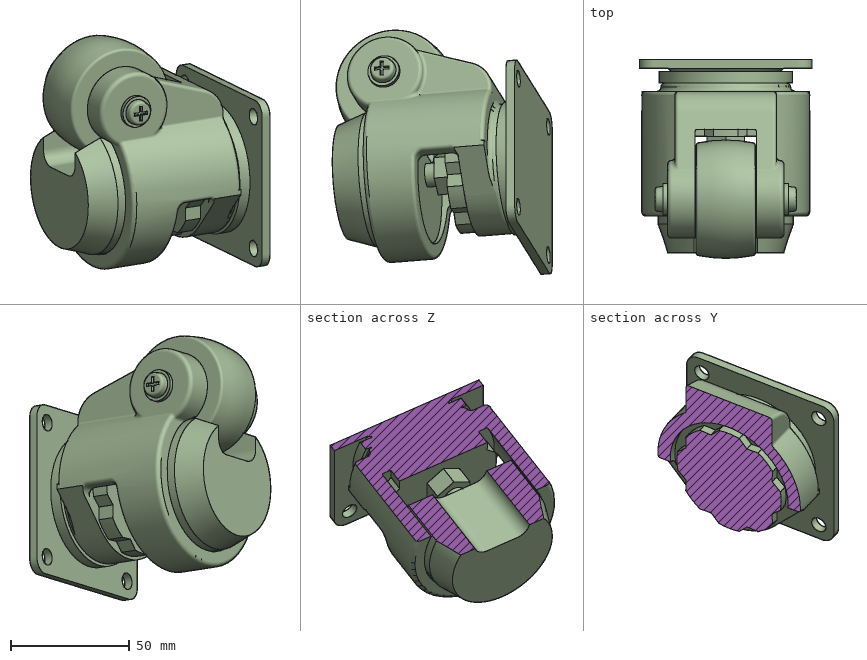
import cadquery as cq
import math


PLATE_SIDE = 73.0
PLATE_THICKNESS = 3.8
PLATE_CORNER_R = 6.0
PLATE_HOLE_D = 7.0
PLATE_HOLE_PITCH = 58.0

NECK_BACK_R = 24.4
NECK_FRONT_R = 23.2
BEARING_R = 56.4 / 2
BEARING_BACK_Y = -5.0
BEARING_FRONT_Y = -9.9

HUB_R = 27.4
HUB_FRONT_Y = -25.3
HOUSING_R = 35.5
HOUSING_BACK_Y = -13.5
HOUSING_FRONT_Y = -66.1
BORE_R = 29.1
EDGE_ROUND = 1.8

WINDOW_TOP_Z = -2.2
WINDOW_FRONT_TOP_Y = -43.5
WINDOW_FRONT_BOTTOM_Y = -45.3
WINDOW_CORNER_R = 3.5
WINDOW_EDGE_ROUND = 1.5

WHEEL_R = 25.0
WHEEL_WIDTH = 25.0
WHEEL_Z = 100.0 - PLATE_SIDE / 2 - WHEEL_R
WHEEL_Y = -84.0 + WHEEL_R
ARM_HALF_WIDTH = 21.4
ARM_CORNER_Z = 38.4
ARM_SLOPE = 0.33
ARM_BACK_R = 12.5
ARM_EDGE_ROUND = 1.5
ARM_BASE_FILLET = 1.5
BOSS_R = 16.4
BOSS_OUTER_X = 24.6
FORK_SLOT_HALF_WIDTH = 12.9
FORK_SLOT_BACK_Y = -29.5
FORK_SLOT_CORNER_R = 0.8

WHEEL_RIM_R = 23.9
WHEEL_FACE_R = 22.7
WHEEL_EDGE_WIDTH = 1.2
WHEEL_HUB_R = 12.0

WASHER_R = 13.5 / 2
WASHER_THICKNESS = 1.8
SCREW_BASE_R = 5.4
SCREW_RIM_R = 10.3 / 2
SCREW_TIP_R = 8.0 / 2
SCREW_RIM_HEIGHT = 2.2
SCREW_HEIGHT = 3.4
CROSS_LENGTH = 6.3
CROSS_WIDTH = 1.3
CROSS_DEPTH = 1.5

KNOB_R = 26.0
KNOB_VALLEY_R = 23.2
KNOB_TEETH = 8
KNOB_TOOTH_HALF_ANGLE = 11.3
KNOB_FRONT_Y = -32.5
HEX_ACROSS_FLATS = 16.0
HEX_FRONT_Y = -41.2
STEM_D = 10.0
FOOT_R = 28.6
FOOT_PAD_R = 24.5
FOOT_BACK_Y = -46.0
FOOT_CONE_Y = -69.5
FOOT_FRONT_Y = -81.6
FOOT_SLOT_HALF_WIDTH = 13.4
FOOT_SLOT_FLOOR_Z = 8.9
FOOT_SLOT_CORNER_R = 6.0

OVERLAP = 1.0
FAR = 100.0


def prism(sketch_builder, y_back, y_front):
    """Extrude an XZ outline along -Y between two stations."""
    plane = cq.Workplane("XZ", origin=(0, y_back, 0))
    return sketch_builder(plane).extrude(y_back - y_front)


def cylinder(radius, y_back, y_front):
    return prism(lambda w: w.circle(radius), y_back, y_front)


def block(x_range, y_range, z_range):
    """Axis-aligned box between pairs of limits."""
    sizes = [high - low for low, high in (x_range, y_range, z_range)]
    return cq.Workplane("XY").box(*sizes, centered=False).translate((x_range[0], y_range[0], z_range[0]))


def cross_disc(radius, x_low, x_high):
    """Disc on the wheel axis between two X limits."""
    plane = cq.Workplane("YZ", origin=(x_low, WHEEL_Y, WHEEL_Z))
    return plane.circle(radius).extrude(x_high - x_low)


def mounting_plate():
    plate = prism(lambda w: w.rect(PLATE_SIDE, PLATE_SIDE), 0, -PLATE_THICKNESS)
    plate = plate.edges("|Y").fillet(PLATE_CORNER_R)
    holes = prism(
        lambda w: w.rect(PLATE_HOLE_PITCH, PLATE_HOLE_PITCH, forConstruction=True)
        .vertices()
        .circle(PLATE_HOLE_D / 2),
        0,
        -PLATE_THICKNESS,
    )
    return plate.cut(holes)


def swivel_bearing():
    profile = (
        cq.Workplane("XY")
        .moveTo(0, -PLATE_THICKNESS + OVERLAP)
        .lineTo(NECK_BACK_R, -PLATE_THICKNESS + OVERLAP)
        .lineTo(NECK_BACK_R, -PLATE_THICKNESS)
        .lineTo(NECK_FRONT_R, BEARING_BACK_Y)
        .lineTo(BEARING_R, BEARING_BACK_Y)
        .lineTo(BEARING_R, BEARING_FRONT_Y)
        .lineTo(0, BEARING_FRONT_Y)
        .close()
    )
    return profile.revolve(360, (0, 0, 0), (0, 1, 0))


def arms():
    """Both arms as one sloped block, reaching into the two wheel bosses."""
    end_y = WHEEL_Y + BOSS_R / 2
    end_z = ARM_CORNER_Z + ARM_SLOPE * (HOUSING_BACK_Y - end_y)
    outline = [(HOUSING_BACK_Y, 0), (HOUSING_BACK_Y, ARM_CORNER_Z), (end_y, end_z), (end_y, 0)]
    arm = cq.Workplane("YZ", origin=(-ARM_HALF_WIDTH, 0, 0)).polyline(outline).close()
    arm = arm.extrude(2 * ARM_HALF_WIDTH)
    arm = arm.edges("|X").edges(cq.selectors.NearestToPointSelector((0, HOUSING_BACK_Y, ARM_CORNER_Z)))
    arm = arm.fillet(ARM_BACK_R)
    return arm.faces("<X or >X").edges(">Z or (>Y and |Z)").fillet(ARM_EDGE_ROUND)


def bosses():
    boss = cross_disc(BOSS_R, -BOSS_OUTER_X, BOSS_OUTER_X)
    return boss.faces("<X or >X").edges().fillet(EDGE_ROUND)


def hub():
    """Rear hub: a round drum with a flared root, widened tangentially up to the full housing width."""
    bend = EDGE_ROUND * (1 - math.sqrt(0.5))
    flare_y = HOUSING_BACK_Y + EDGE_ROUND
    drum = cylinder(HUB_R, BEARING_FRONT_Y, HUB_FRONT_Y).faces(">Y").edges().fillet(EDGE_ROUND)
    flare = (
        cq.Workplane("XY")
        .moveTo(0, flare_y)
        .lineTo(HUB_R, flare_y)
        .threePointArc((HUB_R + bend, HOUSING_BACK_Y + bend), (HUB_R + EDGE_ROUND, HOUSING_BACK_Y))
        .lineTo(0, HOUSING_BACK_Y)
        .close()
        .revolve(360, (0, 0, 0), (0, 1, 0))
    )
    side_x = math.sqrt(HOUSING_R**2 - WINDOW_TOP_Z**2)
    tangent_angle = math.atan2(WINDOW_TOP_Z, side_x) - math.acos(HUB_R / HOUSING_R)
    tangent_x = HUB_R * math.cos(tangent_angle)
    tangent_z = HUB_R * math.sin(tangent_angle)

    def tangent_outline(top_z):
        right = [(tangent_x, tangent_z), (side_x, WINDOW_TOP_Z), (side_x, top_z)]
        left = [(-x, z) for x, z in reversed(right)]
        return lambda w: w.polyline(right + left).close()

    sides = prism(tangent_outline(0), HOUSING_BACK_Y, HUB_FRONT_Y)
    flare = flare.intersect(prism(tangent_outline(FAR), 0, -FAR))
    return drum.union(sides).union(flare)


def barrel_with_arms():
    """Barrel cut level where the arms stand on it, with the arms and bosses blended in."""
    barrel = cylinder(HOUSING_R, HOUSING_BACK_Y, HOUSING_FRONT_Y).edges().fillet(EDGE_ROUND)
    arm_base_z = math.sqrt(HOUSING_R**2 - ARM_HALF_WIDTH**2)
    barrel = barrel.cut(block((-FAR, FAR), (-FAR, FAR), (arm_base_z, FAR)))
    body = barrel.union(arms()).union(bosses())
    boss_back_y = WHEEL_Y + BOSS_R
    arm_foot = cq.selectors.BoxSelector(
        (-BOSS_OUTER_X, boss_back_y - BOSS_R / 2, arm_base_z - 2 * OVERLAP),
        (BOSS_OUTER_X, HOUSING_BACK_Y - EDGE_ROUND, arm_base_z + OVERLAP),
    )
    boss_root = cq.selectors.BoxSelector(
        (-BOSS_OUTER_X, boss_back_y - 2 * OVERLAP, arm_base_z + OVERLAP),
        (BOSS_OUTER_X, boss_back_y + OVERLAP, WHEEL_Z + BOSS_R / 2),
    )
    return body.edges(arm_foot + boss_root).fillet(ARM_BASE_FILLET)


def side_window():
    """Cutter that opens the lower half of the barrel from the rear up to a leaning front wall."""
    outline = [
        (0, WINDOW_TOP_Z),
        (WINDOW_FRONT_TOP_Y, WINDOW_TOP_Z),
        (WINDOW_FRONT_BOTTOM_Y, -HOUSING_R),
        (WINDOW_FRONT_BOTTOM_Y, -FAR),
        (0, -FAR),
    ]
    cutter = cq.Workplane("YZ", origin=(-FAR, 0, 0)).polyline(outline).close().extrude(2 * FAR)
    corner = cq.selectors.NearestToPointSelector((0, WINDOW_FRONT_TOP_Y, WINDOW_TOP_Z))
    return cutter.edges("|X").edges(corner).fillet(WINDOW_CORNER_R)


def housing():
    body = barrel_with_arms().cut(side_window()).union(hub())
    rear_corner = cq.selectors.NearestToPointSelector((0, HUB_FRONT_Y, WINDOW_TOP_Z))
    body = body.edges("|X").edges(rear_corner).fillet(WINDOW_CORNER_R)
    window_rim = cq.selectors.NearestToPointSelector((HOUSING_R, HUB_FRONT_Y - 8, WINDOW_TOP_Z))
    body = body.edges(window_rim).fillet(WINDOW_EDGE_ROUND)
    body = body.cut(cylinder(BORE_R, HUB_FRONT_Y, -FAR))
    slot = block(
        (-FORK_SLOT_HALF_WIDTH, FORK_SLOT_HALF_WIDTH), (-FAR, FORK_SLOT_BACK_Y), (FOOT_SLOT_FLOOR_Z, FAR)
    )
    return body.cut(slot.edges("|Z and >Y").fillet(FORK_SLOT_CORNER_R))


def wheel():
    half = WHEEL_WIDTH / 2
    shoulder = half - WHEEL_EDGE_WIDTH
    edge_mid = WHEEL_EDGE_WIDTH * (1 - math.sqrt(0.5))
    profile = (
        cq.Workplane("XY")
        .moveTo(-half, 0)
        .lineTo(-half, WHEEL_FACE_R)
        .threePointArc((-half + edge_mid, WHEEL_RIM_R - edge_mid), (-shoulder, WHEEL_RIM_R))
        .threePointArc((0, WHEEL_R), (shoulder, WHEEL_RIM_R))
        .threePointArc((half - edge_mid, WHEEL_RIM_R - edge_mid), (half, WHEEL_FACE_R))
        .lineTo(half, 0)
        .close()
    )
    tyre = profile.revolve(360, (0, 0, 0), (1, 0, 0)).translate((0, WHEEL_Y, WHEEL_Z))
    hub_half = FORK_SLOT_HALF_WIDTH + OVERLAP
    return tyre.union(cross_disc(WHEEL_HUB_R, -hub_half, hub_half))


def axle_screw():
    """Washer and cross-recess screw head on the -X side."""
    washer_x = BOSS_OUTER_X + WASHER_THICKNESS
    tip_x = washer_x + SCREW_HEIGHT
    rim_x = washer_x + SCREW_RIM_HEIGHT
    profile = (
        cq.Workplane("XY")
        .moveTo(-BOSS_OUTER_X + OVERLAP, 0)
        .lineTo(-BOSS_OUTER_X + OVERLAP, WASHER_R)
        .lineTo(-washer_x, WASHER_R)
        .lineTo(-washer_x, SCREW_BASE_R)
        .lineTo(-rim_x, SCREW_RIM_R)
        .radiusArc((-tip_x, SCREW_TIP_R), -(tip_x - rim_x))
        .lineTo(-tip_x, 0)
        .close()
    )
    screw = profile.revolve(360, (0, 0, 0), (1, 0, 0))
    recess_plane = cq.Workplane("YZ", origin=(-tip_x, 0, 0))
    recess = recess_plane.rect(CROSS_LENGTH, CROSS_WIDTH).extrude(CROSS_DEPTH)
    recess = recess.union(recess_plane.rect(CROSS_WIDTH, CROSS_LENGTH).extrude(CROSS_DEPTH))
    return screw.cut(recess).translate((0, WHEEL_Y, WHEEL_Z))


def polar(radius, degrees):
    angle = math.radians(degrees)
    return (radius * math.cos(angle), radius * math.sin(angle))


def adjuster():
    """Toothed knob, hexagon and stem that join the foot to the housing."""
    pitch = 360 / KNOB_TEETH

    def toothed_outline(plane):
        outline = plane.moveTo(*polar(KNOB_VALLEY_R, -pitch / 2))
        for tooth in range(KNOB_TEETH):
            centre = tooth * pitch
            outline = outline.lineTo(*polar(KNOB_R, centre - KNOB_TOOTH_HALF_ANGLE))
            outline = outline.threePointArc(
                polar(KNOB_R, centre), polar(KNOB_R, centre + KNOB_TOOTH_HALF_ANGLE)
            )
            if tooth < KNOB_TEETH - 1:
                outline = outline.lineTo(*polar(KNOB_VALLEY_R, centre + pitch / 2))
        return outline.close()

    knob = prism(toothed_outline, HUB_FRONT_Y + OVERLAP, KNOB_FRONT_Y)
    corner_diameter = HEX_ACROSS_FLATS / math.cos(math.pi / 6)
    hexagon = prism(lambda w: w.polygon(6, corner_diameter), KNOB_FRONT_Y + OVERLAP, HEX_FRONT_Y)
    hexagon = hexagon.rotate((0, 0, 0), (0, 1, 0), 90)
    stem = cylinder(STEM_D / 2, HEX_FRONT_Y + OVERLAP, FOOT_BACK_Y - OVERLAP)
    return knob.union(hexagon).union(stem)


def foot():
    profile = (
        cq.Workplane("XY")
        .moveTo(0, FOOT_BACK_Y)
        .lineTo(FOOT_R, FOOT_BACK_Y)
        .lineTo(FOOT_R, FOOT_CONE_Y)
        .lineTo(FOOT_PAD_R, FOOT_FRONT_Y)
        .lineTo(0, FOOT_FRONT_Y)
        .close()
    )
    pad = profile.revolve(360, (0, 0, 0), (0, 1, 0))
    wheel_slot = block(
        (-FOOT_SLOT_HALF_WIDTH, FOOT_SLOT_HALF_WIDTH), (-FAR, FOOT_BACK_Y), (FOOT_SLOT_FLOOR_Z, FAR)
    )
    return pad.cut(wheel_slot.edges("|Y and <Z").fillet(FOOT_SLOT_CORNER_R))


left_screw = axle_screw()
result = mounting_plate()
for piece in (
    swivel_bearing(),
    housing(),
    wheel(),
    left_screw,
    left_screw.mirror("YZ"),
    adjuster(),
    foot(),
):
    result = result.union(piece)